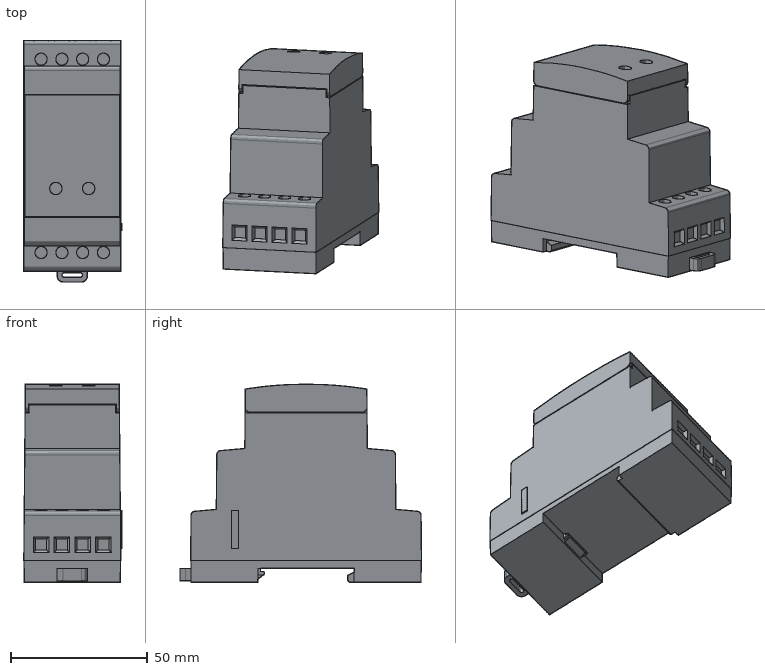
import cadquery as cq
import math


overall_length = 88.6
overall_width = 36.0
height = 72.65
draft = math.tan(math.radians(0.5))

handle_reach = 3.9
joint_z = 8.1
half_width = 17.8
half_length = (overall_length - handle_reach) / 2
middle_half_length = 33.0
upper_half_length = 22.5
lower_tread_z = 26.8
upper_tread_z = 49.1
tread_slope = math.tan(math.radians(5))
tread_edge_radius = 1.6
base_inset = 0.1

cap_edge_z = 70.9
cap_skirt_z = 62.4
cap_front_z = 65.3
cap_gap = 0.3
cap_gap_depth = 0.9
cap_core_half_width = 15.9
cap_corner_radius = 1.8
indicator_diameter = 4.5
indicator_spacing = 12.05
indicator_y = -12.0
hole_depth = 1.6

terminal_count = 4
terminal_pitch = 7.6
screw_hole_diameter = 4.4
screw_hole_y = 35.4
window_z = 13.8
window_size = 5.8
window_floor_size = 4.0
window_depth = 1.3

slot_half_length = 17.6
slot_height = 5.1
hook_half_width = 15.8
hook_reach = 2.4
hook_tip_chamfer = 0.6
hook_tip_top_z = 2.6
hook_root_top_z = 3.7
clip_width = 11.1
ramp_inset = 0.9
latch_reach = 2.5
latch_neck = 1.0
latch_shoulder_z = 4.0
latch_tip_z = 3.4
latch_bottom_z = 2.75
latch_tip_bevel = 0.35
ramp_root_z = 1.15
handle_bottom_z = 0.5
handle_corner_radius = 2.1
handle_slot_length = 7.4
handle_slot_width = 1.6
handle_slot_reach = 1.3

overlap = 0.9

strip_length = 2.6
strip_y = -26.1
strip_bottom_z = 12.4
strip_top_z = 26.3

terminal_xs = [(i - (terminal_count - 1) / 2) * terminal_pitch for i in range(terminal_count)]


def leaned(half_size, z, from_z):
    """Half size of a drafted wall at level z when it is half_size at from_z."""
    return half_size - draft * (z - from_z)


def extrude_x(profile, half_x):
    """Extrude a YZ profile symmetrically about X = 0."""
    return profile.extrude(half_x, both=True)


def box_between(low, high):
    """Axis-aligned box between two opposite corners."""
    size = [b - a for a, b in zip(low, high)]
    return cq.Workplane("XY").box(*size, centered=False).translate(low)


def housing():
    """Stepped profile with sloping treads, trimmed by the drafted side walls."""
    upper_foot = (upper_half_length, upper_tread_z)
    middle_foot = (middle_half_length, lower_tread_z)
    upper_tread_end_z = upper_tread_z - tread_slope * (middle_half_length - upper_half_length)
    lower_tread_end_z = lower_tread_z - tread_slope * (half_length - middle_half_length)
    cap_half_length = leaned(upper_half_length, cap_edge_z, upper_tread_z)
    middle_end = (leaned(middle_half_length, upper_tread_end_z, lower_tread_z), upper_tread_end_z)
    lower_end = (leaned(half_length, lower_tread_end_z, joint_z), lower_tread_end_z)
    side = [
        (half_length, joint_z), lower_end, middle_foot, middle_end, upper_foot,
        (cap_half_length, cap_edge_z),
    ]
    mirrored = [(-y, z) for y, z in reversed(side)]
    profile = (
        cq.Workplane("YZ")
        .polyline(side)
        .threePointArc((0, height), mirrored[0])
        .polyline(mirrored[1:], includeCurrent=True)
        .close()
    )
    stepped = extrude_x(profile, half_width)
    for y, z in (middle_end, lower_end):
        for end_y in (y, -y):
            edge = cq.selectors.NearestToPointSelector((0, end_y, z))
            stepped = stepped.edges(edge).fillet(tread_edge_radius)

    top_half_width = leaned(half_width, height, joint_z)
    walls = (
        cq.Workplane("XZ")
        .polyline([
            (-half_width, joint_z), (half_width, joint_z),
            (top_half_width, height), (-top_half_width, height),
        ])
        .close()
        .extrude(half_length, both=True)
    )
    return stepped.intersect(walls)


def base():
    """Foot block below the joint, narrowing downwards, with the rail slot across it."""
    taper = math.degrees(math.atan(draft))
    block = (
        cq.Workplane("XY", origin=(0, 0, joint_z))
        .rect(2 * (half_width - base_inset), 2 * (half_length - base_inset))
        .extrude(-joint_z, taper=taper)
    )
    slot = box_between(
        (-half_width, -slot_half_length, 0), (half_width, slot_half_length, slot_height)
    )
    return block.cut(slot)


def rail_hook():
    """Fixed hook on the +Y side of the slot; it tapers towards its tip."""
    root_y = slot_half_length
    tip_y = root_y - hook_reach
    profile = cq.Workplane("YZ").polyline([
        (root_y, 0), (tip_y + hook_tip_chamfer, 0), (tip_y, hook_tip_chamfer),
        (tip_y, hook_tip_top_z), (root_y, hook_root_top_z),
    ]).close()
    return extrude_x(profile, hook_half_width)


def clip_nose():
    """Latch of the sliding clip on the -Y side of the slot, with a narrower lead-in ramp under it."""
    root_y = -slot_half_length
    neck_y = root_y + latch_neck
    tip_y = root_y + latch_reach
    ramp_top = (tip_y - latch_tip_bevel, latch_bottom_z)
    ramp_root = (root_y, latch_bottom_z)
    latch = cq.Workplane("YZ").polyline([
        (root_y, slot_height), (neck_y, slot_height), (neck_y, latch_shoulder_z),
        (tip_y - latch_tip_bevel, latch_shoulder_z), (tip_y, latch_tip_z), ramp_top, ramp_root,
    ]).close()
    ramp = cq.Workplane("YZ").polyline([ramp_root, ramp_top, (root_y, ramp_root_z)]).close()
    return extrude_x(latch, clip_width / 2).union(extrude_x(ramp, clip_width / 2 - ramp_inset))


def clip_handle():
    """Rounded pull tab of the sliding clip with a slot for a screwdriver."""
    root_y = -half_length + overlap
    tip_y = -half_length - handle_reach
    tab = box_between(
        (-clip_width / 2, tip_y, handle_bottom_z), (clip_width / 2, root_y, slot_height)
    )
    tab = tab.edges("|Z and <Y").fillet(handle_corner_radius)
    slot = (
        cq.Workplane("XY")
        .center(0, -half_length - handle_slot_reach)
        .slot2D(handle_slot_length, handle_slot_width)
        .extrude(slot_height)
    )
    return tab.cut(slot)


def cap_gaps():
    """Narrow gap under the cap: slits under both skirts and a step over the core at each end."""
    slit_z = cap_skirt_z - cap_gap
    gap_end = upper_half_length + cap_gap
    cap_end = leaned(upper_half_length, cap_skirt_z, upper_tread_z)
    gap_start = cap_end - cap_gap_depth

    skirt_space = box_between(
        (cap_core_half_width, -gap_end, slit_z),
        (half_width, gap_end, cap_skirt_z + cap_corner_radius),
    )
    skirt = box_between(
        (cap_core_half_width, -cap_end, cap_skirt_z), (half_width, cap_end, height)
    ).edges("|X and <Z").fillet(cap_corner_radius)
    slit = skirt_space.cut(skirt)
    gaps = slit.union(slit.mirror("YZ"))

    outer_half_width = cap_core_half_width + cap_gap
    for end in (1, -1):
        arch = box_between(
            (-outer_half_width, gap_start, slit_z), (outer_half_width, gap_end, cap_front_z)
        ).cut(box_between(
            (-cap_core_half_width, gap_start, slit_z),
            (cap_core_half_width, gap_end, cap_front_z - cap_gap),
        ))
        gaps = gaps.union(arch if end > 0 else arch.mirror("XZ"))
    return gaps


def blind_hole(x, y, diameter, surface_z):
    """Shallow vertical hole whose floor lies hole_depth below surface_z, open above."""
    return (
        cq.Workplane("XY", origin=(x, y, surface_z - hole_depth))
        .circle(diameter / 2)
        .extrude(2 * hole_depth)
    )


def indicator_holes():
    """Two shallow holes in the curved cap top."""
    cap_rise = height - cap_edge_z
    surface_z = height - cap_rise * (indicator_y / upper_half_length) ** 2
    left, right = (
        blind_hole(x, indicator_y, indicator_diameter, surface_z)
        for x in (-indicator_spacing / 2, indicator_spacing / 2)
    )
    return left.union(right)


def terminal_cuts():
    """Screw holes in the lower treads and funnel windows in both end walls."""
    screw_z = lower_tread_z - tread_slope * (screw_hole_y - middle_half_length)
    wall_y = leaned(half_length, window_z, joint_z)
    cuts = cq.Workplane("XY")
    for x in terminal_xs:
        screw_hole = blind_hole(x, -screw_hole_y, screw_hole_diameter, screw_z)
        window = (
            cq.Workplane("XZ", origin=(x, -wall_y - draft * window_size, window_z))
            .rect(window_size, window_size)
            .workplane(offset=-window_depth)
            .rect(window_floor_size, window_floor_size)
            .loft()
        )
        for cut in (screw_hole, window):
            cuts = cuts.add(cut).add(cut.mirror("XZ"))
    return cuts.combine()


def wall_strip():
    """Thin raised strip on the +X wall."""
    return box_between(
        (half_width - overlap, strip_y - strip_length / 2, strip_bottom_z),
        (overall_width - half_width, strip_y + strip_length / 2, strip_top_z),
    )


result = (
    housing()
    .union(base())
    .union(rail_hook())
    .union(clip_nose())
    .union(clip_handle())
    .union(wall_strip())
    .cut(cap_gaps())
    .cut(indicator_holes())
    .cut(terminal_cuts())
)